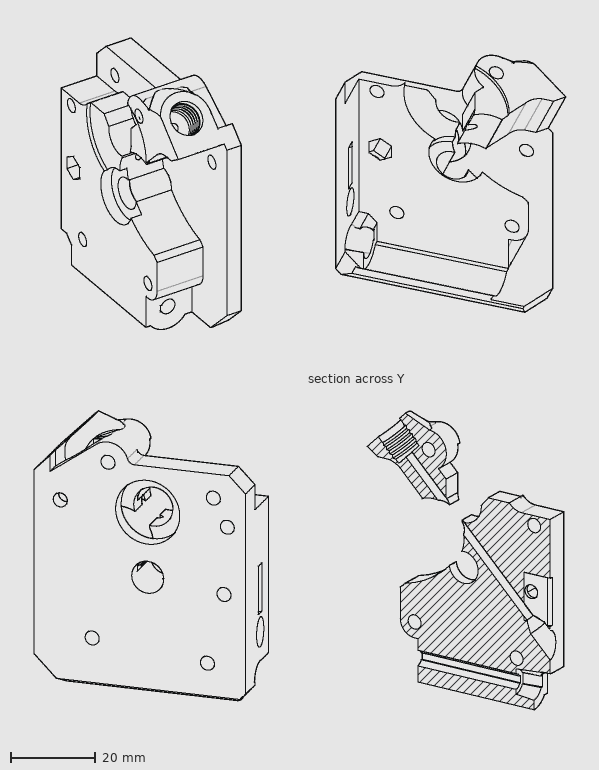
import cadquery as cq
import math

WIDTH = 53.0
THICKNESS = 17.0
TOP_Z = 57.67
FLOOR_Y = 12.9
PAD_Y = 10.0
TOP_CHAMFER = 4.14
BOTTOM_CHAMFER = 7.2
CORNER_CHAMFER = 2.96
BACK_BEVEL_Y = 3.2
BACK_BEVEL_Z = 1.6
OVERLAP = 1.0

SCREW_DIAMETER = 3.5
UPPER_LEFT_SCREW = (8.06, 51.57)
ARM_SCREW = (34.45, 57.54)
LOBE_SCREW = (38.4, 12.8)
NUT_SCREW = (5.4, 27.6)
SCREWS = [UPPER_LEFT_SCREW, ARM_SCREW, LOBE_SCREW, NUT_SCREW, (4.57, 44.64), (9.54, 9.8), (46.4, 46.65)]
NUT_FLATS = 5.6
NUT_DEPTH = 5.0

MOTOR = (24.5, 46.1)
MOTOR_HOLE_DIAMETER = 9.8
MOTOR_SEAT_DIAMETER = 16.07
MOTOR_RECESS_RADIUS = 13.2
MOTOR_RECESS_DEPTH = 0.95
BEARING = (24.5, 29.7)
BEARING_BORE_DIAMETER = 8.0
BEARING_SEAT_DIAMETER = 13.9
BEARING_SEAT_DEPTH = 3.0
GEAR = (33.0, 36.8)
GEAR_RADIUS = 8.5

BLOCK_SHOULDER_Z = 47.2
BLOCK_TOP_Z = 48.95
BLOCK_TOP_END_X = 17.55
BLOCK_CHAMFER_ANGLE = 50.0
SCREW_RELIEF_RADIUS = UPPER_LEFT_SCREW[1] - BLOCK_SHOULDER_Z
BLOCK_RIGHT_X = 37.5
LOBE_RADIUS = 4.1
LOBE_TOP_Z = 20.86
GUARD_START = (28.3, 29.6)
GUARD_MIDDLE = (34.76, 24.56)
GUARD_END = (41.07, 22.13)

ARM_RADIUS = 5.1
ARM_LEFT_X = 29.44
ARM_FILLET = 1.83
ARM_UNDERCUT_ANGLE = 236
ARM_TIP = (36.28, 44.82)
ARM_RELIEF_START = (41.9, 50.44)
ARM_RELIEF_MIDDLE = (43.6, 51.85)
ARM_RELIEF_END = (45.9, 52.6)
ARM_LEDGE_END_X = 48.8

FILAMENT_Y = 6.2
FITTING = (45.7, 60.8)
FACE_SUM = FITTING[0] + FITTING[1]
FITTING_RADIUS = 6.65
FITTING_FLARE = 22.5
FITTING_LENGTH = 9.0
FITTING_APEX_X = 32.8
SADDLE_ANGLE = 78.0
SADDLE_LENGTH = 3.2
SADDLE_WEDGE_ANGLE = 61.0
FITTING_BORE_DIAMETER = 8.0
FITTING_THREAD_DIAMETER = 8.95
FITTING_BORE_DEPTH = 8.0
THREAD_LEAD_IN = 1.8
THREAD_LEAD_IN_DIAMETER = 8.4
THREAD_PITCH = 1.25
NOTCH_FOOT = (49.0, 53.5)
ARM_FACE_X = 51.87

FILAMENT_DIAMETER = 2.3
TUBE_DIAMETER = 5.3
TUBE_DEPTH = 5.2
TUBE_TAPER_LENGTH = 3.0

SLOT_BOTTOM_Z = 19.9
SLOT_TOP_Z = 32.1
SLOT_OUTER_WIDTH = 2.55
SLOT_INNER_WIDTH = 0.75
SLOT_FLARE_DEPTH = 0.8

TUNNEL_Z = 3.8
TUNNEL_WALL_RADIUS = 6.16
POCKET_DEPTH = 4.6
POCKET_TOP_Z = 7.75
POCKET_SLOPE_START_X = 2.4
POCKET_BACK_Y = 10.0
TUNNEL_SEAT_MOUTH_DIAMETER = 8.1
TUNNEL_SEAT_DIAMETER = 6.4
TUNNEL_SEAT_END_X = 9.6
TUNNEL_DIAMETER = 3.9
SEAT_KEY_REACH = 3.9
SEAT_KEY_HEIGHT = 2.9
TUNNEL_KEY_REACH = 2.1
TUNNEL_KEY_HEIGHT = 1.8


def xz_plane(y_back):
    """XZ workplane at the given Y; a positive extrusion runs forwards, towards y = 0."""
    return cq.Workplane("XZ", origin=(0, y_back, 0))


def prism(points, y_front, y_back):
    return xz_plane(y_back).polyline(points).close().extrude(y_back - y_front)


def disc(center, diameter, y_front, y_back):
    return xz_plane(y_back).center(*center).circle(diameter / 2).extrude(y_back - y_front)


def box(x_range, y_range, z_range):
    x0, x1 = x_range
    z0, z1 = z_range
    return prism([(x0, z0), (x1, z0), (x1, z1), (x0, z1)], *y_range)


def cut_all(body, tools):
    for tool in tools:
        body = body.cut(tool)
    return body


def polar(center, radius, degrees):
    angle = math.radians(degrees)
    return (center[0] + radius * math.cos(angle), center[1] + radius * math.sin(angle))


def fitting_solid(profile):
    """Solid of revolution about the fitting axis; the profile is (radius, depth from the face)."""
    inward = cq.Vector(-1, 0, -1)
    across = cq.Vector(0, 1, 0)
    plane = cq.Plane((FITTING[0], FILAMENT_Y, FITTING[1]), xDir=across, normal=across.cross(inward))
    return cq.Workplane(plane).polyline(profile).close().revolve(360, (0, 0), (0, 1))


def face_point(x):
    """Point of the fitting face at the given x."""
    return (x, FACE_SUM - x)


def tangent_point(center, radius, point):
    """Upper touching point of the tangent from an outside point to a circle."""
    dx = point[0] - center[0]
    dz = point[1] - center[1]
    angle = math.atan2(dz, dx) + math.acos(radius / math.hypot(dx, dz))
    return polar(center, radius, math.degrees(angle))


ARM_TANGENT = tangent_point(ARM_SCREW, ARM_RADIUS, NOTCH_FOOT)


def plate():
    """Back plate, thicker at the upper left, with the arm end and the notch behind the fitting."""
    fillet_z = TOP_Z + ARM_FILLET
    rise = fillet_z - ARM_SCREW[1]
    fillet_x = ARM_SCREW[0] - math.sqrt((ARM_RADIUS + ARM_FILLET) ** 2 - rise ** 2)
    fillet_angle = math.degrees(math.atan2(rise, fillet_x - ARM_SCREW[0]))
    fillet_end = polar(ARM_SCREW, ARM_RADIUS, fillet_angle)
    fillet_middle_angle = (fillet_angle - 180 - 90) / 2
    fillet_middle = polar((fillet_x, fillet_z), ARM_FILLET, fillet_middle_angle)
    outline = (
        xz_plane(THICKNESS)
        .moveTo(0, 0)
        .lineTo(WIDTH - BOTTOM_CHAMFER, 0)
        .lineTo(WIDTH, BOTTOM_CHAMFER)
        .lineTo(*face_point(WIDTH))
        .lineTo(*face_point(NOTCH_FOOT[0]))
        .lineTo(*NOTCH_FOOT)
        .lineTo(*ARM_TANGENT)
        .threePointArc(polar(ARM_SCREW, ARM_RADIUS, 90), fillet_end)
        .threePointArc(fillet_middle, (fillet_x, TOP_Z))
        .lineTo(TOP_CHAMFER, TOP_Z)
        .lineTo(0, TOP_Z - TOP_CHAMFER)
        .close()
    )
    full = outline.extrude(THICKNESS - PAD_Y)
    gear_space = box((MOTOR[0], WIDTH + OVERLAP), (PAD_Y - OVERLAP, FLOOR_Y), (0, MOTOR[1]))
    arm_space = box((ARM_SCREW[0], WIDTH + OVERLAP), (PAD_Y - OVERLAP, FLOOR_Y), (0, FACE_SUM))
    return full.cut(gear_space).cut(arm_space)


def lower_block():
    """Front block carrying the bearing, with the lobe at its right and the gear clearance."""
    relief = SCREW_RELIEF_RADIUS
    shoulder_end = math.sqrt(relief ** 2 - (UPPER_LEFT_SCREW[1] - BLOCK_TOP_Z) ** 2)
    relief_middle = polar(UPPER_LEFT_SCREW, relief, -65)
    lobe_right_x = LOBE_SCREW[0] + LOBE_RADIUS
    lobe_bottom_z = LOBE_SCREW[1] - LOBE_RADIUS
    chamfer_drop = BLOCK_TOP_Z - MOTOR[1]
    chamfer_end_x = BLOCK_TOP_END_X + chamfer_drop / math.tan(math.radians(BLOCK_CHAMFER_ANGLE))
    return (
        xz_plane(FLOOR_Y)
        .moveTo(0, 0)
        .lineTo(BLOCK_RIGHT_X, 0)
        .lineTo(BLOCK_RIGHT_X, lobe_bottom_z)
        .lineTo(LOBE_SCREW[0], lobe_bottom_z)
        .threePointArc(polar(LOBE_SCREW, LOBE_RADIUS, -45), (lobe_right_x, LOBE_SCREW[1]))
        .lineTo(lobe_right_x, LOBE_TOP_Z)
        .lineTo(*GUARD_END)
        .threePointArc(GUARD_MIDDLE, GUARD_START)
        .lineTo(GUARD_START[0], GEAR[1])
        .lineTo(MOTOR[0] + OVERLAP, GEAR[1])
        .lineTo(MOTOR[0] + OVERLAP, MOTOR[1])
        .lineTo(chamfer_end_x, MOTOR[1])
        .lineTo(BLOCK_TOP_END_X, BLOCK_TOP_Z)
        .lineTo(UPPER_LEFT_SCREW[0] + shoulder_end, BLOCK_TOP_Z)
        .threePointArc(relief_middle, (UPPER_LEFT_SCREW[0], BLOCK_SHOULDER_Z))
        .lineTo(0, BLOCK_SHOULDER_Z)
        .close()
        .extrude(FLOOR_Y)
    )


def arm():
    """Block in front of the floor, above the gear, reaching up to the fitting face."""
    undercut_end = polar(ARM_SCREW, ARM_RADIUS, ARM_UNDERCUT_ANGLE)
    return (
        xz_plane(FLOOR_Y)
        .moveTo(*undercut_end)
        .lineTo(ARM_LEFT_X, undercut_end[1] - (undercut_end[0] - ARM_LEFT_X))
        .lineTo(ARM_LEFT_X, MOTOR[1])
        .lineTo(ARM_LEFT_X - OVERLAP, MOTOR[1])
        .lineTo(ARM_LEFT_X - OVERLAP, GEAR[1])
        .lineTo(ARM_TIP[0], GEAR[1])
        .lineTo(*ARM_TIP)
        .lineTo(*ARM_RELIEF_START)
        .threePointArc(ARM_RELIEF_MIDDLE, ARM_RELIEF_END)
        .lineTo(ARM_LEDGE_END_X, ARM_RELIEF_END[1])
        .lineTo(*face_point(ARM_FACE_X))
        .lineTo(*FITTING)
        .lineTo(*ARM_TANGENT)
        .threePointArc(polar(ARM_SCREW, ARM_RADIUS, 135), undercut_end)
        .close()
        .extrude(FLOOR_Y)
    )


def plan_wedge(half_angle):
    """Upright wedge opening towards +X from the inner end of the fitting."""
    reach = THICKNESS
    spread = reach * math.tan(math.radians(half_angle))
    return (
        cq.Workplane("XY")
        .polyline([
            (FITTING_APEX_X, FILAMENT_Y),
            (FITTING_APEX_X + reach, FILAMENT_Y - spread),
            (FITTING_APEX_X + reach, FILAMENT_Y + spread),
        ])
        .close()
        .extrude(FACE_SUM)
    )


def fitting():
    """Flared cone behind the fitting face, with the saddle joining it to the round arm end."""
    flare = FITTING_LENGTH * math.tan(math.radians(FITTING_FLARE))
    cone = fitting_solid([
        (0, 0),
        (FITTING_RADIUS, 0),
        (FITTING_RADIUS + flare, FITTING_LENGTH),
        (0, FITTING_LENGTH),
    ])
    limits = box((0, NOTCH_FOOT[0]), (0, THICKNESS), (NOTCH_FOOT[1], FACE_SUM))
    saddle_start = polar(ARM_SCREW, ARM_RADIUS, SADDLE_ANGLE)
    saddle_end = polar(saddle_start, SADDLE_LENGTH, SADDLE_ANGLE - 90)
    saddle = prism([ARM_SCREW, saddle_start, saddle_end], 0, 2 * FILAMENT_Y)
    trimmed_saddle = saddle.intersect(plan_wedge(SADDLE_WEDGE_ANGLE))
    return cone.intersect(plan_wedge(45)).intersect(limits).union(trimmed_saddle)


def tunnel_solid(radius, x_start, x_end):
    return (
        cq.Workplane("YZ", origin=(x_start, 0, 0))
        .center(FILAMENT_Y, TUNNEL_Z)
        .circle(radius)
        .extrude(x_end - x_start)
    )


def key_slot(start_reach, end_reach, height, x_end):
    """Keyway in front of the tunnel axis; its floor may slope from one end to the other."""
    return (
        cq.Workplane("XY", origin=(0, FILAMENT_Y, TUNNEL_Z - height / 2))
        .polyline([(POCKET_DEPTH, 0), (POCKET_DEPTH, -start_reach), (x_end, -end_reach), (x_end, 0)])
        .close()
        .extrude(height)
    )


def cut_tunnel(body):
    """Keyed bore along the bottom edge, entered through an open pocket in the lower left corner."""
    slope_drop = POCKET_DEPTH - POCKET_SLOPE_START_X
    entry = prism(
        [
            (-OVERLAP, -TUNNEL_WALL_RADIUS),
            (POCKET_DEPTH, -TUNNEL_WALL_RADIUS),
            (POCKET_DEPTH, POCKET_TOP_Z - slope_drop),
            (POCKET_SLOPE_START_X, POCKET_TOP_Z),
            (-OVERLAP, POCKET_TOP_Z),
        ],
        -OVERLAP,
        FILAMENT_Y,
    )
    lower_entry = box((-OVERLAP, POCKET_DEPTH), (-OVERLAP, POCKET_BACK_Y), (-TUNNEL_WALL_RADIUS, TUNNEL_Z))
    seat = (
        cq.Workplane("YZ")
        .center(FILAMENT_Y, TUNNEL_Z)
        .circle(TUNNEL_SEAT_MOUTH_DIAMETER / 2)
        .workplane(offset=TUNNEL_SEAT_END_X)
        .circle(TUNNEL_SEAT_DIAMETER / 2)
        .loft()
    )
    corner_below = box((0, POCKET_DEPTH), (0, THICKNESS), (-TUNNEL_WALL_RADIUS, TUNNEL_Z))
    cuts = [
        entry,
        lower_entry,
        seat.cut(corner_below),
        tunnel_solid(TUNNEL_DIAMETER / 2, POCKET_DEPTH, WIDTH),
        key_slot(SEAT_KEY_REACH, TUNNEL_SEAT_DIAMETER / 2, SEAT_KEY_HEIGHT, TUNNEL_SEAT_END_X),
        key_slot(TUNNEL_KEY_REACH, TUNNEL_KEY_REACH, TUNNEL_KEY_HEIGHT, WIDTH),
    ]
    return cut_all(body, cuts)


def cut_bottom_edges(body):
    """Chamfer of the lower left corner and bevel along the bottom back edge."""
    corner = prism(
        [
            (-OVERLAP, CORNER_CHAMFER + OVERLAP),
            (POCKET_DEPTH, CORNER_CHAMFER - POCKET_DEPTH),
            (POCKET_DEPTH, -TUNNEL_WALL_RADIUS),
            (-OVERLAP, -TUNNEL_WALL_RADIUS),
        ],
        POCKET_BACK_Y,
        THICKNESS,
    )
    bevel = (
        cq.Workplane("YZ")
        .polyline([(THICKNESS, 0), (THICKNESS, BACK_BEVEL_Z), (THICKNESS - BACK_BEVEL_Y, 0)])
        .close()
        .extrude(WIDTH)
    )
    return body.cut(corner).cut(bevel)


def cut_round_openings(body):
    """Motor and bearing openings, the gear clearance and the screw holes."""
    nut_radius = NUT_FLATS / 2 / math.cos(math.radians(30))
    nut_corners = [polar(NUT_SCREW, nut_radius, 30 + 60 * index) for index in range(6)]
    cuts = [
        disc(GEAR, 2 * GEAR_RADIUS, 0, FLOOR_Y),
        disc(MOTOR, 2 * MOTOR_RECESS_RADIUS, 0, MOTOR_RECESS_DEPTH),
        disc(MOTOR, MOTOR_HOLE_DIAMETER, 0, THICKNESS),
        disc(MOTOR, MOTOR_SEAT_DIAMETER, FLOOR_Y, THICKNESS),
        disc(BEARING, BEARING_SEAT_DIAMETER, 0, BEARING_SEAT_DEPTH),
        disc(BEARING, BEARING_BORE_DIAMETER, 0, THICKNESS),
        prism(nut_corners, 0, NUT_DEPTH),
    ]
    cuts += [disc(screw, SCREW_DIAMETER, 0, THICKNESS) for screw in SCREWS]
    return cut_all(body, cuts)


def cut_fitting_bore(body):
    """Plain lead-in followed by ring-shaped V grooves in place of a helical thread."""
    minor = FITTING_BORE_DIAMETER / 2
    major = FITTING_THREAD_DIAMETER / 2
    lead_in = THREAD_LEAD_IN_DIAMETER / 2
    profile = [(0, -OVERLAP), (lead_in, -OVERLAP), (lead_in, THREAD_LEAD_IN), (minor, THREAD_LEAD_IN)]
    groove_count = int((FITTING_BORE_DEPTH - THREAD_LEAD_IN) / THREAD_PITCH)
    for index in range(groove_count):
        start = THREAD_LEAD_IN + index * THREAD_PITCH
        profile.append((major, start + THREAD_PITCH / 2))
        profile.append((minor, start + THREAD_PITCH))
    profile += [(minor, FITTING_BORE_DEPTH), (0, FITTING_BORE_DEPTH)]
    return body.cut(fitting_solid(profile))


def cut_filament_path(body):
    """Filament hole on the fitting axis, widening into a tube socket at the left side."""
    wall_depth = FITTING[0] * math.sqrt(2)
    socket_start = wall_depth - TUBE_DEPTH
    filament = FILAMENT_DIAMETER / 2
    tube = TUBE_DIAMETER / 2
    end = wall_depth + TUBE_DIAMETER
    return body.cut(fitting_solid([
        (0, 0),
        (filament, 0),
        (filament, socket_start - TUBE_TAPER_LENGTH),
        (tube, socket_start),
        (tube, end),
        (0, end),
    ]))


def cut_side_slot(body):
    """Slot with flared mouth, narrowing to a point inside the bearing bore."""
    outer = SLOT_OUTER_WIDTH / 2
    inner = SLOT_INNER_WIDTH / 2
    slot = (
        cq.Workplane("XY", origin=(0, FILAMENT_Y, SLOT_BOTTOM_Z))
        .polyline([
            (0, -outer),
            (SLOT_FLARE_DEPTH, -inner),
            (BEARING[0], 0),
            (SLOT_FLARE_DEPTH, inner),
            (0, outer),
        ])
        .close()
        .extrude(SLOT_TOP_Z - SLOT_BOTTOM_Z)
    )
    return body.cut(slot)


body = plate().union(lower_block()).union(arm()).union(fitting())
body = body.union(tunnel_solid(TUNNEL_WALL_RADIUS, 0, BLOCK_RIGHT_X))
body = cut_bottom_edges(body)
body = cut_tunnel(body)
body = cut_round_openings(body)
body = cut_fitting_bore(body)
body = cut_filament_path(body)
body = cut_side_slot(body)

result = body